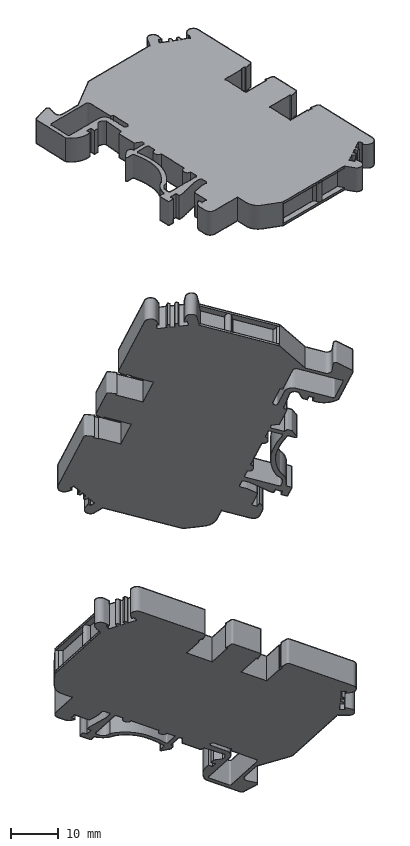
import cadquery as cq
import math


length = 63.4
height = 46.0
thickness = 6.2

wall_x = 29.1
head_floor = 17.05
rail_roof = 10.45
hook_seam = -5.9
foot_seam = 12.3

pillar_half = 3.55
slot_outer = 9.8
slot_floor = 38.0
barb_y = 43.95
barb_reach = 0.4
barb_lead = 0.25
relief = 0.2
relief_end = 42.95

nose_radius = 1.4
nose_x = 26.1
nose_y = height - nose_radius
lug_radius = 1.3
lug_x = length / 2 - lug_radius
lug_y = 37.2
lug_under_angle = 30.0
lug_slope = math.tan(math.radians(lug_under_angle))
lug_centre_drop = lug_radius / math.cos(math.radians(lug_under_angle))
lug_root = lug_y - lug_centre_drop - (lug_x - wall_x) * lug_slope

recess_rim = 0.6
recess_depth = 1.35
recess_top = lug_root - recess_depth * lug_slope
recess_bottom = 18.0
recess_lip = 17.6
lip_radius = recess_lip - head_floor
post_y = 28.15
post_radius = 0.7
post_flare = 0.6

cavity_left = -24.0
cavity_right = -18.4
cavity_bottom = 0.95
cavity_top = 12.0
slit_end = -12.25
slit_bottom = 11.4
slit_top = 12.55

clip_left = -5.45
window_left = -4.5
window_right = 10.2
clip_right = 11.35
bump_radius = 1.0
bump_y = 10.5
bump_places = (-1.5, 7.3)


def rounded_corner(before, corner, after):
    """Start, middle and end of the arc that rounds a corner between two straight edges."""
    x, y, radius = corner
    to_before = cq.Vector(before[0] - x, before[1] - y).normalized()
    to_after = cq.Vector(after[0] - x, after[1] - y).normalized()
    half_angle = to_before.getAngle(to_after) / 2
    setback = radius / math.tan(half_angle)
    tip = cq.Vector(x, y)
    bisector = (to_before + to_after).normalized()
    middle = tip + bisector * (radius / math.sin(half_angle) - radius)
    return tip + to_before * setback, middle, tip + to_after * setback


def prism(steps, bottom=0.0, top=thickness):
    """Extrude a closed outline between two Z levels.

    A step is (x, y) for a sharp corner, (x, y, radius) for a rounded corner, or
    (x, y, via_x, via_y) for an arc that ends at x, y. The first step is sharp.
    """
    path = cq.Workplane("XY", origin=(0, 0, bottom)).moveTo(*steps[0])
    for i in range(1, len(steps)):
        step = steps[i]
        if len(step) == 2:
            path = path.lineTo(*step)
        elif len(step) == 3:
            start, middle, end = rounded_corner(steps[i - 1], step, steps[(i + 1) % len(steps)])
            path = path.lineTo(start.x, start.y)
            path = path.threePointArc((middle.x, middle.y), (end.x, end.y))
        else:
            path = path.threePointArc(step[2:], step[:2])
    return path.close().extrude(top - bottom)


def disc(x, y, radius):
    return cq.Workplane("XY", origin=(x, y, 0)).circle(radius).extrude(thickness)


def on_circle(x, y, radius, degrees):
    angle = math.radians(degrees)
    return x + radius * math.cos(angle), y + radius * math.sin(angle)


def half_head():
    """Right half of the head, with its top slot, marker teeth and two rounded lugs."""
    top_slot = [
        (pillar_half, height, 0.45),
        (pillar_half + barb_reach, barb_y),
        (pillar_half, barb_y),
        (pillar_half, slot_floor),
        (slot_outer, slot_floor),
        (slot_outer, relief_end),
        (slot_outer + relief, relief_end),
        (slot_outer + relief, barb_y),
        (slot_outer + relief - barb_reach, barb_y),
        (slot_outer + barb_lead, height, 0.6),
    ]
    marker_side = [
        (nose_x, height),
        on_circle(nose_x, nose_y, nose_radius, -45),
        (26.3, 42.8),
        (26.1, 43.4),
        (25.1, 42.8),
        (26.15, 41.05),
        (26.3, 41.2),
        (27.1, 41.2),
        (27.1, 40.65),
        (26.45, 40.5),
        (26.95, 39.5),
        (27.3, 39.7),
        (27.9, 39.7, 0.2),
        (28.05, 39.2),
        (27.4, 38.75),
        (28.35, 37.05),
        (29.3, 37.6),
        (28.9, 38.2),
    ]
    side_lug = [
        on_circle(lug_x, lug_y, lug_radius, 100),
        on_circle(lug_x, lug_y, lug_radius, lug_under_angle - 90),
        (wall_x, lug_root),
        (wall_x, head_floor),
    ]
    head = prism([(0, head_floor), (0, height)] + top_slot + marker_side + side_lug)
    head = head.union(disc(nose_x, nose_y, nose_radius))
    head = head.union(disc(lug_x, lug_y, lug_radius))
    return head.cut(side_recess())


def side_recess():
    """Recess in the right side wall between two rims, around a rounded middle post."""
    low = recess_rim
    high = thickness - recess_rim
    floor_x = wall_x - recess_depth
    pocket = prism(
        [
            (wall_x, lug_root),
            (floor_x, recess_top),
            (floor_x, recess_bottom),
            (wall_x - lip_radius, recess_lip),
            (wall_x, head_floor, *on_circle(wall_x - lip_radius, head_floor, lip_radius, 45)),
        ],
        low,
        high,
    )
    post_x = wall_x - post_radius
    post = prism(
        [
            (floor_x, post_y + post_radius),
            (post_x, post_y + post_radius),
            (post_x, post_y - post_radius, wall_x, post_y),
            (floor_x, post_y - post_radius - post_flare),
        ],
        low,
        high,
    )
    return pocket.cut(post)


def hook_foot():
    """Left foot: a springy hook around a tall cavity that opens into a narrow slit."""
    body = prism(
        [
            (hook_seam, head_floor),
            (-wall_x, head_floor),
            (-24.75, 9.75),
            (-24.75, 4.0, 1.1),
            (-28.75, 4.9, 0.5),
            (-27.4, 0, 0.7),
            (-18.4, 0),
            (-16.1, 4.95, -16.9, 1.45),
            (-17.05, 4.95),
            (-17.05, 6.1),
            (-16.0, 6.1),
            (-16.0, 7.15),
            (-17.4, 8.5),
            (-16.6, 10.15, -17.25, 9.6),
            (-12.0, 9.9),
            (-11.6, 9.0),
            (-7.1, 9.0),
            (-6.3, rail_roof, 0.2),
            (hook_seam, rail_roof),
        ]
    )
    cavity = prism(
        [
            (-17.3, cavity_top),
            (-17.0, slit_top),
            (slit_end, slit_top, 0.6),
            (slit_end, slit_bottom, 0.5),
            (cavity_right, slit_bottom, 1.85),
            (cavity_right, cavity_bottom, 0.4),
            (cavity_left, cavity_bottom, 0.4),
            (cavity_left, cavity_top, 0.75),
        ]
    )
    return body.cut(cavity)


def spring_clip():
    """Middle section: an arched spring between two legs, with a window above the arch."""
    body = prism(
        [
            (hook_seam, head_floor),
            (hook_seam, rail_roof),
            (clip_left, rail_roof, 0.25),
            (clip_left, 7.3),
            (-6.2, 7.0, 0.4),
            (-6.2, 5.9, 0.4),
            (-4.9, 4.25, 0.2),
            (window_left, 4.4, 0.2),
            (window_left, 6.2, 0.3),
            (-3.8, 6.35),
            (0.4, 6.7, -1.9, 6.65),
            (6.35, 3.9, 3.5, 5.95),
            (9.2, 1.45, 7.4, 2.4),
            (9.7, 1.4, 0.25),
            (9.7, 0, 0.25),
            (12.5, 0, 0.2),
            (12.5, 1.45, 0.2),
            (11.55, 1.45),
            (11.55, 3.05),
            (12.5, 3.05),
            (12.5, 3.95),
            (clip_right, 8.7),
            (clip_right, rail_roof, 0.3),
            (foot_seam, rail_roof),
            (foot_seam, head_floor),
        ]
    )
    window = prism(
        [
            (0, rail_roof),
            (window_left, rail_roof, 0.25),
            (window_left, 7.2, 0.25),
            (-3.8, 7.3),
            (0, 7.7, -1.9, 7.6),
            (7.55, 4.1, 4.3, 6.7),
            (9.0, 2.4, 8.1, 2.85),
            (window_right, 2.4, 0.4),
            (window_right, rail_roof, 0.3),
        ]
    )
    body = body.cut(window)
    for x in bump_places:
        body = body.union(disc(x, bump_y, bump_radius))
    return body


def fixed_foot():
    """Right foot: a rigid claw with a rail notch and a rounded heel."""
    return prism(
        [
            (foot_seam, head_floor),
            (foot_seam, rail_roof),
            (13.25, rail_roof, 0.3),
            (13.25, 8.8),
            (13.8, 6.1, 0.45),
            (17.5, 6.1),
            (17.5, 4.9),
            (16.55, 4.75),
            (18.15, 3.4, 17.05, 3.95),
            (21.3, 3.4, 1.45),
            (21.3, 11.4),
            (25.9, 11.4, 3.5),
            (wall_x, head_floor),
        ]
    )


head_right = half_head()
result = head_right.union(head_right.mirror("YZ"))
for section in (hook_foot(), spring_clip(), fixed_foot()):
    result = result.union(section)
result = result.clean()